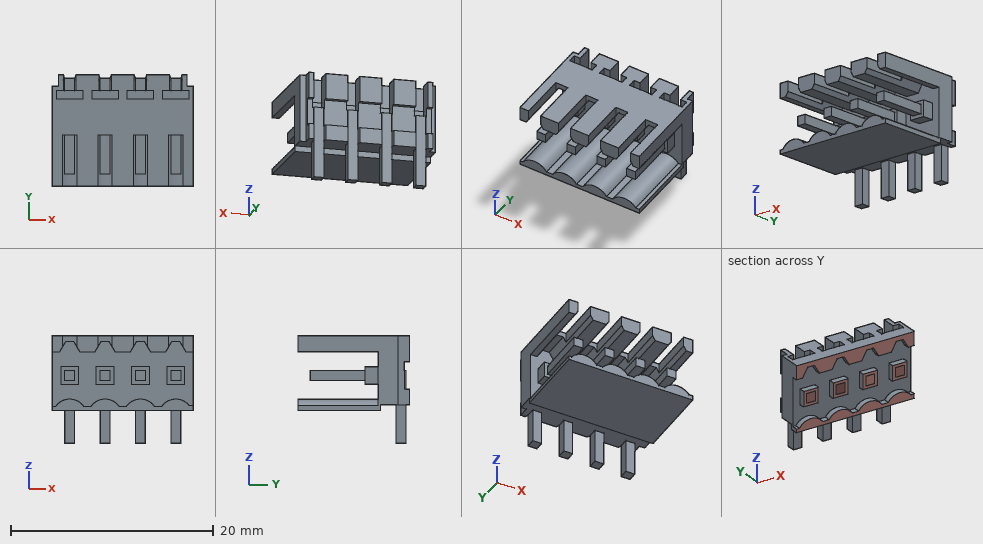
import cadquery as cq


contact_count = 4
pitch = 3.5
contact_xs = [(i - (contact_count - 1) / 2) * pitch for i in range(contact_count)]

width = 13.95
depth = 11.05
height = 6.85
wall_thickness = 3.12
wall_front_y = -wall_thickness

pin_size = 1.0
pin_axis_z = 2.9
pin_top_z = pin_axis_z + pin_size / 2
pin_bottom_z = pin_top_z - pin_size
pin_rear_y = -0.35
pin_length = 9.5
pin_tail_length = 3.8
pin_tail_front_y = pin_rear_y - pin_size

collar_size = 1.75
collar_length = 1.3

upper_thickness = 1.6
upper_bottom_z = height - upper_thickness
keyway_base_width = 2.0
keyway_roof_width = 0.76
keyway_roof_thickness = 0.57
keyway_roof_z = height - keyway_roof_thickness
slot_width = 1.4
slot_length = 5.05

lower_bottom_z = -0.58
lower_floor_z = -0.15
lower_rear_y = -2.86
rib_width = 2.78
rib_height = 0.72
rib_top_z = lower_floor_z + rib_height
edge_strip_z = -0.05

corner_step_width = 0.6
corner_step_depth = 1.15
rear_notch_depth = 0.52
rear_notch_bottom_z = 1.55
rear_notch_top_z = 4.25
stem_width = 1.24
pocket_width = 2.62
pocket_rear_y = -1.6
pocket_front_y = -2.44
pocket_floor_z = rear_notch_top_z


def block(x_min, x_max, y_min, y_max, z_min, z_max):
    """Rectangular block between the given limits."""
    return cq.Workplane("XY").box(
        x_max - x_min, y_max - y_min, z_max - z_min, centered=False
    ).translate((x_min, y_min, z_min))


def centered_block(x, block_width, y_min, y_max, z_min, z_max):
    """Rectangular block centered on x."""
    return block(x - block_width / 2, x + block_width / 2, y_min, y_max, z_min, z_max)


def make_pin(x):
    """Square pin: straight contact forward, tail bent down at the rear."""
    contact = centered_block(x, pin_size, pin_rear_y - pin_length, pin_rear_y, pin_bottom_z, pin_top_z)
    tail = centered_block(x, pin_size, pin_tail_front_y, pin_rear_y, -pin_tail_length, pin_top_z)
    return contact.union(tail)


def make_rib(x):
    """Rounded rib on the lower plate, a circular segment running along Y."""
    return (
        cq.Workplane("XZ", origin=(x, wall_front_y, 0))
        .moveTo(-rib_width / 2, lower_floor_z)
        .threePointArc((0, rib_top_z), (rib_width / 2, lower_floor_z))
        .close()
        .extrude(depth - wall_thickness)
    )


def make_edge_strip():
    """Slightly raised strip beside the last rib, out to the +X edge."""
    return block(contact_xs[-1], width / 2, -depth, wall_front_y, lower_floor_z, edge_strip_z)


def make_keyway(x):
    """Tapered groove under the upper plate, opened upwards by a slot at the mating end."""
    groove = (
        cq.Workplane("XZ", origin=(x, wall_front_y, 0))
        .moveTo(-keyway_base_width / 2, upper_bottom_z)
        .lineTo(-keyway_roof_width / 2, keyway_roof_z)
        .lineTo(keyway_roof_width / 2, keyway_roof_z)
        .lineTo(keyway_base_width / 2, upper_bottom_z)
        .close()
        .extrude(depth - wall_thickness)
    )
    slot = centered_block(x, slot_width, -depth, slot_length - depth, upper_bottom_z, height)
    return groove.union(slot)


def make_rear_channel(x):
    """T-shaped recess from the top, with a pin-wide channel below for the tail."""
    stem = centered_block(x, stem_width, pocket_rear_y, 0, pin_top_z, height)
    pocket = centered_block(x, pocket_width, pocket_front_y, pocket_rear_y, pocket_floor_z, height)
    tail_channel = centered_block(x, pin_size, pin_tail_front_y, 0, 0, pin_top_z)
    lead_in = (
        cq.Workplane("XY", origin=(x, 0, 0))
        .moveTo(-stem_width / 2, 0)
        .lineTo(stem_width / 2, 0)
        .lineTo(pin_size / 2, pin_rear_y)
        .lineTo(-pin_size / 2, pin_rear_y)
        .close()
        .extrude(rear_notch_bottom_z)
    )
    return stem.union(pocket).union(tail_channel).union(lead_in)


def make_housing(pins):
    """Rear wall with an upper and a lower plate, recessed for the pins."""
    body = centered_block(0, width, wall_front_y, 0, 0, height)
    body = body.union(centered_block(0, width, -depth, wall_front_y, upper_bottom_z, height))
    body = body.union(centered_block(0, width, -depth, lower_rear_y, lower_bottom_z, lower_floor_z))
    body = body.union(centered_block(0, width, wall_front_y, lower_rear_y, lower_floor_z, 0))
    body = body.union(make_edge_strip())

    collar_bottom_z = pin_axis_z - collar_size / 2
    for x in contact_xs:
        collar = centered_block(
            x, collar_size, wall_front_y - collar_length, wall_front_y,
            collar_bottom_z, collar_bottom_z + collar_size,
        )
        body = body.union(collar).union(make_rib(x))
        body = body.cut(make_keyway(x)).cut(make_rear_channel(x))

    for side in (-1, 1):
        step_x = side * (width - corner_step_width) / 2
        body = body.cut(centered_block(step_x, corner_step_width, -corner_step_depth, 0, 0, height))
    body = body.cut(
        centered_block(0, width, -rear_notch_depth, 0, rear_notch_bottom_z, rear_notch_top_z)
    )

    for pin in pins:
        body = body.cut(pin)
    return body


pins = [make_pin(x) for x in contact_xs]
housing = make_housing(pins)

pin_solids = [pin.solids().val() for pin in pins]
result = cq.Compound.makeCompound([housing.solids().val(), *pin_solids])